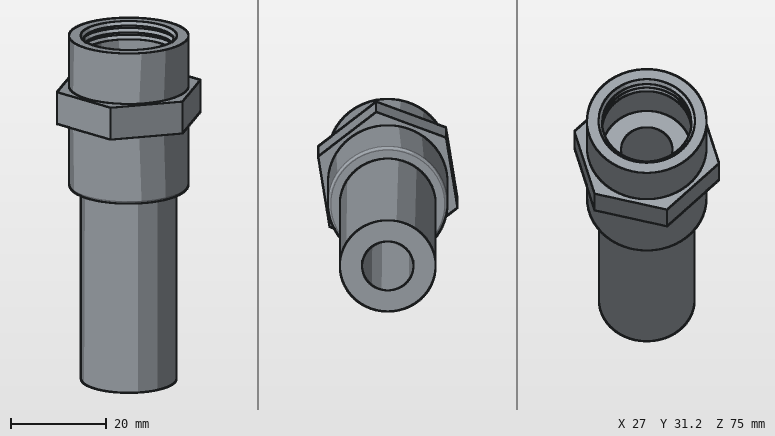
import cadquery as cq

total_height = 75.0
body_length = 33.0
hex_bottom_depth = 18.0
hex_height = 7.0

pipe_diameter = 20.0
body_diameter = 25.0
hex_across_flats = 27.0
body_fillet = 0.6

bore_diameter = 10.7
socket_diameter = 18.6
socket_depth = 12.0

ridge_height = 0.75
groove_count = 2
groove_pitch = 2 * ridge_height


def cylinder(diameter, bottom, top):
    return cq.Workplane("XY").workplane(offset=bottom).circle(diameter / 2).extrude(top - bottom)


def hexagon():
    """Wrench flats, with two of them facing along X."""
    return (
        cq.Workplane("XY")
        .workplane(offset=total_height - hex_bottom_depth)
        .polygon(6, hex_across_flats, circumscribed=True)
        .extrude(hex_height)
    )


def socket():
    """Mouth cavity: a chamfered entry, V grooves, then a plain wall down to the floor."""
    wall_radius = socket_diameter / 2
    root_radius = wall_radius + ridge_height
    floor = total_height - socket_depth

    profile = cq.Workplane("XZ").moveTo(0, total_height).lineTo(root_radius, total_height)
    ridge_z = total_height - ridge_height
    profile = profile.lineTo(wall_radius, ridge_z)
    for _ in range(groove_count):
        profile = profile.lineTo(root_radius, ridge_z - groove_pitch / 2)
        ridge_z -= groove_pitch
        profile = profile.lineTo(wall_radius, ridge_z)
    profile = profile.lineTo(wall_radius, floor).lineTo(0, floor).close()
    return profile.revolve(360, (0, 0, 0), (0, 1, 0))


body_bottom = total_height - body_length
body = cylinder(body_diameter, body_bottom, total_height).edges("<Z").fillet(body_fillet)
pipe = cylinder(pipe_diameter, 0, body_bottom)
bore = cylinder(bore_diameter, 0, total_height)

result = body.union(pipe).union(hexagon()).cut(socket()).cut(bore)